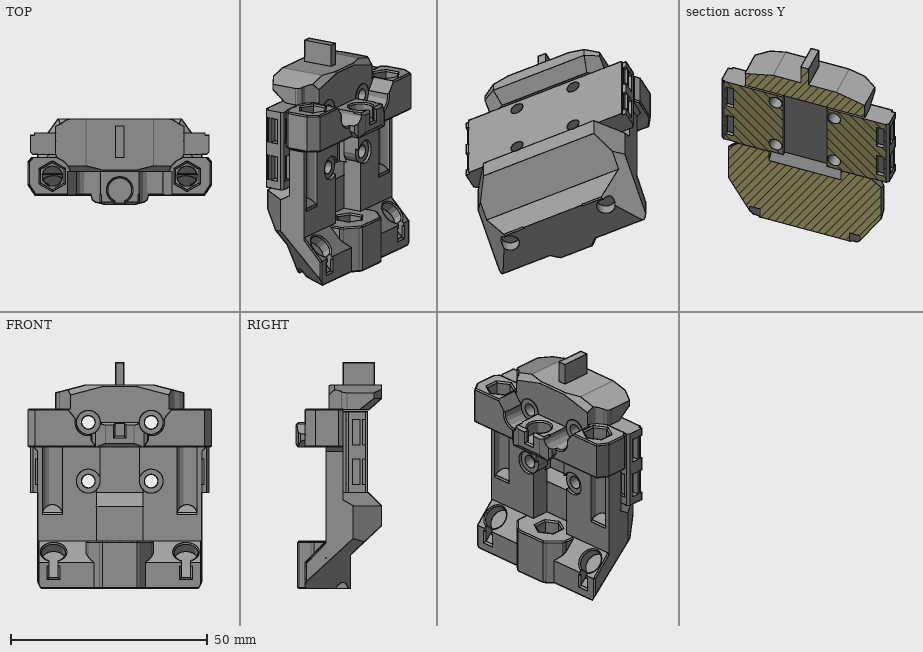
import cadquery as cq
import math

SIDES = (-1, 1)
REACH = 69.15
EDGE_BREAK = 0.35

plate_half_width = 20.9
plate_front = -4.4

back = 9.85
shelf_top = 24.5
shelf_bevel = 3.35
shelf_rear_low = 16.1
facet_start_y = 2.6
facet_end_x = 15.75
foot_back = 1.95
foot_back_top = 8.65
foot_front = -9.7
foot_slope_top = 12.1
foot_slope_low = 6.6
foot_side_cut_low = 1.5
foot_side_cut_high = 12.8
foot_side_cut_steepness = 1.7

bar_half_width = 46.85 / 2
bar_front = foot_front
bar_bottom = 36.05
bar_top = 45.85
bar_front_corner = (1.8, 2.7)
bar_back_corner = (1.0, 1.15)
bar_notch_top_half = 13.35
bar_notch_low_half = 11.0
bar_notch_slope_low = 42.9
bar_support = 1.05

lip_front = -3.65
lip_half_width = 16.35
lip_bottom = 45.6
lip_top = 52.0
lip_side_top = 49.95
lip_flat_half = 8.65
lip_facet_end_x = 12.95
lip_facet_start_y = 7.9
lip_bevel_rise = 2.95
lip_bevel_run = 3.3
lip_flank_bevel = 1.5
lip_edge_bevel = 0.4
lip_corner_radius = 1.55

tongue_width = 2.15
tongue_length = 8.0
tongue_top = 57.6
tongue_root = 0.6

nub_front = -12.05
nub_face_half = 3.7
nub_shoulder_half = 6.2
nub_shoulder_y = -11.4
nub_cheek = (7.05, -10.85)
nub_half_width = 7.3
nub_side_bevel_top = 38.0
nub_bottom_half = 6.05
nub_bevel_run = 0.6
nub_bevel_rise = 1.0
nub_hole_y = -8.3
nub_floor = 38.9

boss_half_width = 8.6
boss_shoulder_y = -7.4
boss_cheek = (8.1, -8.2)
boss_neck = (5.1, -11.05)
boss_face_half = 4.45
boss_front = -11.6

screw_x = 8.0
screw_low_z = 27.4
screw_high_z = 42.4
screw_diameter = 3.4
screw_head_diameter = 6.1
screw_head_floor = -3.5
screw_seat_diameter = 6.0
rod_x = 17.15
rod_y = -4.8
rod_diameter = 5.1
rod_groove_low = 18.9
rod_groove_high = 21.45
rod_groove_bend = (-4.15, 19.5)
rod_clearance_diameter = 9.45
hex_flats = 6.0
hex_depth = 5.75
hex_chamfer = 0.4
pocket_diameter = 6.1
slot_width = 2.3
slot_length = 6.9
slot_chamfer = 0.45
keyhole_x = 16.9
keyhole_depth = 3.0
foot_hole_diameter = 4.7
foot_hole_x = 13.65
foot_hole_y = -1.1
foot_hole_depth = 2.9
channel_low_half = 5.95
channel_high_half = 5.0
channel_step_z = 28.7
channel_floor = 0.6
channel_ramp_low = 21.0
ramp_half_width = 9.8

carriage_top = 45.2
pad_half_width = 15.0
pad_relief_depth = 1.9
cap_half_width = 22.8
cap_front = 0.8
cap_back = 5.7
cap_chamfer = 0.65
cover_half_width = 21.8
cover_back = 6.3
window_z_ranges = ((26.6, 33.15), (36.65, 43.15))
window_y_range = (2.4, 4.3)
window_depth = 2.0
notch_front = 4.95
notch_depth = 0.7
front_window_x_range = (19.6, 21.5)
front_window_depth = 0.85


def box(x_range, y_range, z_range):
    """Axis-aligned block between the given limits."""
    size = [high - low for low, high in (x_range, y_range, z_range)]
    corner = (x_range[0], y_range[0], z_range[0])
    return cq.Workplane("XY").box(*size, centered=False).translate(corner)


def mirrored(half_points):
    """Closed outline from its right half, listed from one end of the axis to the other."""
    left = [(-x, v) for x, v in reversed(half_points)]
    return list(half_points) + left


def plan_prism(points, bottom, top):
    """Outline in X and Y, raised from bottom to top."""
    return cq.Workplane("XY").workplane(offset=bottom).polyline(points).close().extrude(top - bottom)


def front_prism(points, front, rear):
    """Outline in X and Z, extended from front to rear."""
    return cq.Workplane("XZ", origin=(0, front, 0)).polyline(points).close().extrude(front - rear)


def side_prism(points, half_width):
    """Outline in Y and Z, extended to both sides of the middle plane."""
    return cq.Workplane("YZ").polyline(points).close().extrude(half_width, both=True)


def beyond(point, normal):
    """Large block on the outer side of a plane, used as a cutter."""
    plane = cq.Plane(origin=point, normal=normal)
    return cq.Workplane(plane).rect(2 * REACH, 2 * REACH).extrude(REACH)


def upright_cylinder(x, y, diameter, bottom, top):
    """Vertical cylinder."""
    return cq.Workplane("XY", origin=(x, y, bottom)).circle(diameter / 2).extrude(top - bottom)


def screw_cylinder(x, z, diameter, front, rear):
    """Cylinder along Y."""
    return cq.Workplane("XZ", origin=(x, front, z)).circle(diameter / 2).extrude(front - rear)


def facet_normal(start_x, start_y, end_x):
    """Outward direction in X and Y of a right-hand facet that ends at the back."""
    along_x = start_x - end_x
    along_y = back - start_y
    length = math.hypot(along_x, along_y)
    return along_y / length, along_x / length


def hex_socket(x, y, top):
    """Hexagonal pocket with two corners on the Y axis and a chamfered mouth."""
    across_corners = hex_flats / math.cos(math.radians(30))
    mouth_corners = (hex_flats + 2 * hex_chamfer) / math.cos(math.radians(30))
    base = cq.Workplane("XY", origin=(x, y, top)).transformed(rotate=(0, 0, 90))
    pocket = base.polygon(6, across_corners).extrude(-hex_depth)
    mouth = base.polygon(6, mouth_corners).workplane(offset=-hex_chamfer).polygon(6, across_corners).loft()
    return pocket.union(mouth)


def make_plate():
    """Upright plate in front of the carriage."""
    return box((-plate_half_width, plate_half_width), (plate_front, 0), (foot_slope_top, bar_bottom))


def make_foot():
    """Sloped front of the foot with broken edges."""
    profile = [
        (foot_front, 0),
        (foot_front, foot_slope_low),
        (plate_front, foot_slope_top),
        (plate_front, 0),
    ]
    run = plate_front - foot_front
    rise = foot_slope_top - foot_slope_low
    length = math.hypot(run, rise)
    foot = side_prism(profile, plate_half_width)
    for side in SIDES:
        edge_x = side * (plate_half_width - EDGE_BREAK)
        foot = foot.cut(beyond((edge_x, foot_front, 0), (side, -1, 0)))
        foot = foot.cut(beyond((edge_x, foot_front, foot_slope_low), (side, -rise / length, run / length)))
    return foot.cut(beyond((0, foot_front, EDGE_BREAK), (0, -1, -1)))


def make_shelf():
    """Rear shelf under the carriage: side facets with bevelled top edges."""
    profile = [
        (plate_front, 0),
        (plate_front, foot_slope_top),
        (0, shelf_top),
        (back - shelf_bevel, shelf_top),
        (back, shelf_top - shelf_bevel),
        (back, shelf_rear_low),
        (foot_back, foot_back_top),
        (foot_back, EDGE_BREAK),
        (foot_back - EDGE_BREAK, 0),
    ]
    shelf = side_prism(profile, plate_half_width)
    normal_x, normal_y = facet_normal(plate_half_width, facet_start_y, facet_end_x)
    for side in SIDES:
        facet_top = (side * plate_half_width, facet_start_y, shelf_top - shelf_bevel)
        shelf = shelf.cut(beyond(facet_top, (side * normal_x, normal_y, 0)))
        shelf = shelf.cut(beyond(facet_top, (side * normal_x, normal_y, 1)))
    return shelf


def make_base():
    """Plate, shelf and foot with the undersides of both sides cut obliquely."""
    base = make_plate().union(make_foot()).union(make_shelf())
    cut_per_y = (foot_side_cut_high - foot_side_cut_low) / (facet_start_y - foot_front)
    for side in SIDES:
        cut_start = (side * plate_half_width, facet_start_y, foot_side_cut_high)
        base = base.cut(beyond(cut_start, (side * foot_side_cut_steepness, cut_per_y, -1)))
    return base


def make_lip():
    """Roof over the carriage: sloped flanks, rear facets and bevelled edges."""
    outline = mirrored([
        (lip_half_width, lip_bottom),
        (lip_half_width, lip_side_top),
        (lip_flat_half, lip_top),
    ])
    lip = front_prism(outline, lip_front, back)
    for side in SIDES:
        lip = lip.cut(upright_cylinder(side * rod_x, rod_y, rod_clearance_diameter, lip_bottom, lip_top))
    lip = lip.edges("|Z").edges("<X or >X").edges("<Y").fillet(lip_corner_radius)
    lip = lip.cut(beyond((0, lip_front + lip_edge_bevel, lip_top), (0, -1, 1)))
    bevel_low = lip_bottom + lip_bevel_rise
    lip = lip.cut(beyond((0, back, bevel_low), (0, lip_bevel_rise, -lip_bevel_run)))

    flank_run = lip_half_width - lip_flat_half
    flank_drop = lip_top - lip_side_top
    flank_length = math.hypot(flank_run, flank_drop)
    normal_x, normal_y = facet_normal(lip_half_width, lip_facet_start_y, lip_facet_end_x)
    for side in SIDES:
        flank_edge = (side * lip_flat_half, lip_front + lip_flank_bevel, lip_top)
        flank_bevel = (side * flank_drop / flank_length, -1, flank_run / flank_length)
        facet_low = (side * lip_half_width, lip_facet_start_y, bevel_low)
        facet_bevel = (side * normal_x * lip_bevel_rise, normal_y * lip_bevel_rise, -lip_bevel_run)
        lip = lip.cut(beyond(flank_edge, flank_bevel))
        lip = lip.cut(beyond(facet_low, (side * normal_x, normal_y, 0)))
        lip = lip.cut(beyond(facet_low, facet_bevel))
    return lip


def make_tongue():
    """Flat upright tongue on top of the lip."""
    half = tongue_width / 2
    return box((-half, half), (0, tongue_length), (lip_top - tongue_root, tongue_top))


def make_bar():
    """Bar across the plate with a notch that clears the upper screw heads."""
    front_x, front_y = bar_front_corner
    back_x, back_y = bar_back_corner
    plan = mirrored([
        (bar_half_width - front_x, bar_front),
        (bar_half_width, bar_front + front_y),
        (bar_half_width, -back_y),
        (bar_half_width - back_x, 0),
    ])
    bar = plan_prism(plan, bar_bottom, bar_top)
    bar = bar.faces("|Z").edges("not >Y").chamfer(EDGE_BREAK)
    notch = mirrored([
        (bar_notch_low_half, screw_high_z),
        (bar_notch_low_half, bar_notch_slope_low),
        (bar_notch_top_half, bar_top),
    ])
    bar = bar.cut(front_prism(notch, bar_front, lip_front))
    for side in SIDES:
        mouth = cq.Workplane("XZ", origin=(side * screw_x, bar_front, screw_high_z))
        mouth = mouth.circle(screw_head_diameter / 2 + EDGE_BREAK).workplane(offset=-EDGE_BREAK)
        bar = bar.cut(mouth.circle(screw_head_diameter / 2).loft())
    return bar


def make_bar_supports():
    """Bevels that carry the bar where it overhangs the plate sides."""
    outline = mirrored([
        (plate_half_width, bar_bottom - bar_support),
        (plate_half_width + bar_support, bar_bottom),
        (plate_half_width + bar_support, bar_bottom + EDGE_BREAK),
    ])
    return front_prism(outline, plate_front, 0)


def make_nub():
    """Faceted nub in front of the bar."""
    plan = mirrored([
        (nub_face_half, nub_front),
        (nub_shoulder_half, nub_shoulder_y),
        nub_cheek,
        (nub_half_width, bar_front),
        (nub_half_width, lip_front),
    ])
    outline = mirrored([
        (nub_bottom_half, bar_bottom),
        (nub_half_width, nub_side_bevel_top),
        (nub_half_width, screw_high_z),
    ])
    nub = plan_prism(plan, bar_bottom, screw_high_z)
    nub = nub.intersect(front_prism(outline, nub_front, lip_front))
    low_edge = (0, nub_front, bar_bottom + nub_bevel_rise)
    top_edge = (0, nub_front, screw_high_z - 2 * EDGE_BREAK)
    nub = nub.cut(beyond(low_edge, (0, -nub_bevel_rise, -nub_bevel_run)))
    nub = nub.cut(beyond(top_edge, (0, -1, 1)))
    top_half = screw_x - screw_head_diameter / 2 - EDGE_BREAK
    for side in SIDES:
        nub = nub.cut(beyond((side * top_half, 0, screw_high_z), (side, 0, 1)))
    return nub


def make_boss():
    """Faceted boss in the middle of the foot."""
    plan = mirrored([
        (boss_face_half, boss_front),
        boss_neck,
        boss_cheek,
        (boss_half_width, boss_shoulder_y),
        (boss_half_width, foot_back),
    ])
    boss = plan_prism(plan, 0, foot_slope_top)
    return boss.faces("|Z").edges("not >Y").chamfer(EDGE_BREAK)


def center_channel():
    """Channel through the plate, ramped back below the carriage."""
    ramp_end = (channel_floor + shelf_top - channel_ramp_low, shelf_top)
    ramp_start = (channel_floor, channel_ramp_low)
    profile = [
        (foot_front, foot_slope_top),
        (channel_floor, foot_slope_top),
        ramp_start,
        (channel_floor, shelf_top),
        (0, shelf_top),
        (0, channel_step_z),
        (foot_front, channel_step_z),
    ]
    upper = box((-channel_high_half, channel_high_half), (plate_front, 0), (channel_step_z, bar_bottom))
    ramp = side_prism([ramp_start, ramp_end, (channel_floor, shelf_top)], ramp_half_width)
    channel = side_prism(profile, channel_low_half).union(upper).union(ramp)
    for side in SIDES:
        seat = screw_cylinder(side * screw_x, screw_low_z, screw_seat_diameter, screw_head_floor, 0)
        seat_range = sorted((side * channel_high_half, side * screw_x))
        seat = seat.union(box(seat_range, (screw_head_floor, 0), (screw_low_z, channel_step_z)))
        channel = channel.cut(seat)
    return channel


def screw_holes():
    """Four screw holes with round recesses for the screw heads."""
    holes = cq.Workplane("XY")
    for side in SIDES:
        for z in (screw_low_z, screw_high_z):
            x = side * screw_x
            holes = holes.union(screw_cylinder(x, z, screw_diameter, nub_front, back))
            holes = holes.union(screw_cylinder(x, z, screw_head_diameter, nub_front, screw_head_floor))
    return holes


def rod_channel(side):
    """Hexagonal socket and bore in the bar, running out as a groove in the plate."""
    bore = upright_cylinder(side * rod_x, rod_y, rod_diameter, rod_groove_low, bar_top)
    bend_y, bend_z = rod_groove_bend
    bend = (0, bend_y, bend_z)
    groove_back = rod_y + rod_diameter / 2
    below_ramp = beyond(bend, (0, rod_groove_high - bend_z, bend_y - groove_back))
    below_lip = beyond(bend, (0, bend_z - rod_groove_low, plate_front - bend_y))
    bore = bore.cut(below_ramp.intersect(below_lip))
    return bore.union(hex_socket(side * rod_x, rod_y, bar_top))


def slotted_pocket(plane, depth):
    """Round pocket with a chamfered mouth and a slot running along the plane's Y axis."""
    base = cq.Workplane(plane)
    pocket = base.circle(pocket_diameter / 2).extrude(-depth)
    slot = base.center(0, slot_length / 2).rect(slot_width, slot_length).extrude(-depth)
    mouth = base.circle(pocket_diameter / 2 + EDGE_BREAK).workplane(offset=-EDGE_BREAK)
    mouth = mouth.circle(pocket_diameter / 2).loft()
    return pocket.union(slot).union(mouth)


def slot_mouth(x, front, bottom):
    """Flare of a slot, down to the given height, where it leaves through an upright front face."""
    height = pocket_diameter / 2
    outer_height = height + slot_chamfer
    outer = cq.Workplane("XZ", origin=(x, front, bottom + outer_height / 2))
    outer = outer.rect(slot_width + 2 * slot_chamfer, outer_height)
    inner = outer.workplane(offset=-slot_chamfer).center(0, slot_chamfer / 2).rect(slot_width, height)
    return inner.loft()


def foot_keyhole(side):
    """Keyhole square to the foot slope, its slot running down and out at the front."""
    slope_y = foot_front - plate_front
    slope_z = foot_slope_low - foot_slope_top
    middle = (side * keyhole_x, (foot_front + plate_front) / 2, (foot_slope_low + foot_slope_top) / 2)
    plane = cq.Plane(origin=middle, xDir=(-1, 0, 0), normal=(0, slope_z, -slope_y))
    floor_drop = keyhole_depth * math.hypot(slope_y, slope_z) / abs(slope_y)
    mouth = slot_mouth(side * keyhole_x, foot_front, foot_slope_low - floor_drop)
    return slotted_pocket(plane, keyhole_depth).union(mouth)


def nub_pocket():
    """Upright pocket in the nub with a slot to the front."""
    plane = cq.Plane(origin=(0, nub_hole_y, screw_high_z), xDir=(-1, 0, 0), normal=(0, 0, 1))
    mouth = slot_mouth(0, nub_front, nub_floor - slot_chamfer)
    return slotted_pocket(plane, screw_high_z - nub_floor).union(mouth)


def make_housing():
    """Complete housing."""
    housing = make_base()
    for added in (make_bar(), make_bar_supports(), make_nub(), make_lip(), make_tongue(), make_boss()):
        housing = housing.union(added)
    housing = housing.cut(center_channel())
    housing = housing.cut(screw_holes())
    housing = housing.cut(nub_pocket())
    housing = housing.cut(hex_socket(0, rod_y, foot_slope_top))
    for side in SIDES:
        housing = housing.cut(rod_channel(side))
        housing = housing.cut(foot_keyhole(side))
        housing = housing.cut(
            upright_cylinder(side * foot_hole_x, foot_hole_y, foot_hole_diameter, 0, foot_hole_depth)
        )
    return housing


def make_carriage():
    """Slider block with a front pad, wide end caps and a rear cover."""
    height = (shelf_top, carriage_top)
    caps = box((-cap_half_width, cap_half_width), (cap_front, cap_back), height)
    caps = caps.edges("|Z and <Y").chamfer(cap_chamfer)
    pad = box((-pad_half_width, pad_half_width), (0, cap_back), height)
    cover = box((-cover_half_width, cover_half_width), (cap_back, cover_back), height)
    relief = box((-channel_low_half, channel_low_half), (0, pad_relief_depth), height)
    carriage = caps.union(pad).union(cover).cut(relief)
    window_x = (cap_half_width - window_depth, cap_half_width)
    notch_x = (cap_half_width - notch_depth, cap_half_width)
    front_y = (cap_front, cap_front + front_window_depth)
    for z_range in window_z_ranges:
        openings = box(window_x, window_y_range, z_range)
        openings = openings.union(box(notch_x, (notch_front, cover_back), z_range))
        openings = openings.union(box(front_window_x_range, front_y, z_range))
        carriage = carriage.cut(openings).cut(openings.mirror("YZ"))
    return carriage.cut(screw_holes())


housing = make_housing()
carriage = make_carriage()
result = cq.Compound.makeCompound([housing.val(), carriage.val()])